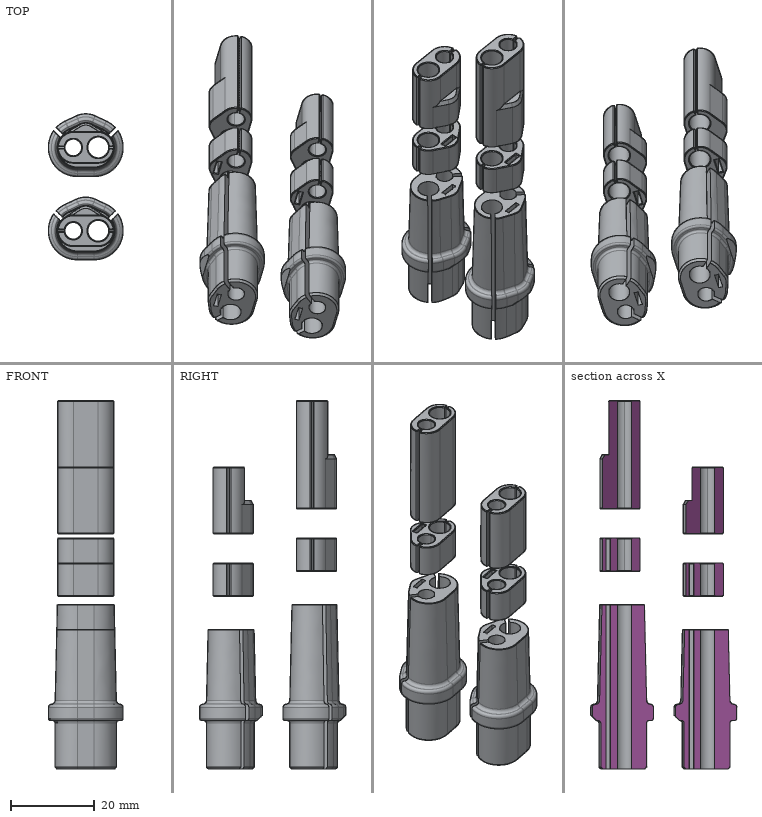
import cadquery as cq
import math

SET_PITCH = 20.0
HOUSING_TO_SPACER_GAP = 8.0
SPACER_TO_INSERT_GAP = 7.0
SPACER_LENGTH = 8.0
SHORT_SET = {"y": 0.0, "housing_height": 33.5, "insert_length": 16.0}
LONG_SET = {"y": SET_PITCH, "housing_height": 39.5, "insert_length": 26.0}

HOLE_OFFSET = 3.0
SMALL_HOLE_DIAMETER = 4.0
LARGE_HOLE_DIAMETER = 5.0
HUMP_CENTRE_Y = 2.7
KEY_SLOT_LENGTH = 3.8
KEY_SLOT_WIDTH = 1.0
KEY_SLOT_Y = 3.9

HOUSING_SIDE_OFFSET = 2.0
FLANGE_RADIUS = 7.0
BODY_RADIUS = 5.4
HUMP_REDUCTION = 1.6
LOWER_HUMP_REDUCTION = 1.95
FLANGE_BOTTOM_Z = 11.65
FLANGE_TOP_Z = 15.6
FLANGE_TOP_FILLET = 0.8
FLANGE_BOTTOM_FILLET = 0.5
NECK_TOP_FILLET = 0.9
NECK_BOTTOM_FILLET = 0.6
TAPER_ANGLE = 1.3
BASE_CHAMFER = 0.5
RIM_CHAMFER = 0.15
RELIEF_TOP_Z = 13.0
CORNER_SLIT_WIDTH = 1.0
CORNER_SLIT_ANGLE = 45.0

CORE_SIDE_OFFSET = 3.0
CORE_RADIUS = 3.8
CORE_HUMP_RADIUS = 3.2
CORE_CHAMFER = 0.2
SIDE_SLIT_WIDTH = 0.4
SLIT_MOUTH_CHAMFER = 0.3
KEEL_CHAMFER_WIDTH = 0.55
KEEL_CHAMFER_HEIGHT = 1.0

CUT_MARGIN = 1.0
CUT_REACH = 2 * FLANGE_RADIUS
EDGE_HEIGHT_SLACK = 0.01
EDGE_SIDE_SLACK = 0.05


def humped_outline(z, side_offset, side_radius, hump_radius):
    """Outline around two side circles and a hump circle on +Y, joined by tangent lines."""
    centre_distance = math.hypot(side_offset, HUMP_CENTRE_Y)
    centre_angle = math.atan2(HUMP_CENTRE_Y, side_offset)
    slope = centre_angle - math.asin((side_radius - hump_radius) / centre_distance)
    side_x = side_offset + side_radius * math.sin(slope)
    side_y = side_radius * math.cos(slope)
    hump_x = hump_radius * math.sin(slope)
    hump_y = HUMP_CENTRE_Y + hump_radius * math.cos(slope)
    return (
        cq.Workplane("XY", origin=(0, 0, z))
        .moveTo(-side_offset, -side_radius)
        .lineTo(side_offset, -side_radius)
        .threePointArc((side_offset + side_radius, 0), (side_x, side_y))
        .lineTo(hump_x, hump_y)
        .threePointArc((0, HUMP_CENTRE_Y + hump_radius), (-hump_x, hump_y))
        .lineTo(-side_x, side_y)
        .threePointArc((-side_offset - side_radius, 0), (-side_offset, -side_radius))
        .close()
    )


def contact_holes(length):
    """Cutters for the small hole on -X and the large hole on +X."""
    depth = length + 2 * CUT_MARGIN
    small = (
        cq.Workplane("XY", origin=(-HOLE_OFFSET, 0, -CUT_MARGIN))
        .circle(SMALL_HOLE_DIAMETER / 2)
        .extrude(depth)
    )
    large = (
        cq.Workplane("XY", origin=(HOLE_OFFSET, 0, -CUT_MARGIN))
        .circle(LARGE_HOLE_DIAMETER / 2)
        .extrude(depth)
    )
    return small.union(large)


def key_slot(length):
    """Cutter for the flat slot under the hump."""
    return (
        cq.Workplane("XY", origin=(0, KEY_SLOT_Y, -CUT_MARGIN))
        .rect(KEY_SLOT_LENGTH, KEY_SLOT_WIDTH)
        .extrude(length + 2 * CUT_MARGIN)
    )


def slit(side, width, angle, length):
    """Cutter running outward from a hole centre; the angle is measured up from the X axis."""
    cutter = (
        cq.Workplane("XY")
        .box(CUT_REACH, width, length + 2 * CUT_MARGIN, centered=(False, True, False))
        .translate((0, 0, -CUT_MARGIN))
    )
    direction = angle if side > 0 else 180 - angle
    return cutter.rotate((0, 0, 0), (0, 0, 1), direction).translate((side * HOLE_OFFSET, 0, 0))


def hump_relief():
    """Cutter for the 45 degree slope under the flange hump."""
    flange_hump_y = HUMP_CENTRE_Y + FLANGE_RADIUS - HUMP_REDUCTION
    drop = RELIEF_TOP_Z - FLANGE_BOTTOM_Z + CUT_MARGIN
    return (
        cq.Workplane("YZ", origin=(-CUT_REACH, 0, 0))
        .moveTo(flange_hump_y, RELIEF_TOP_Z)
        .lineTo(flange_hump_y - drop, RELIEF_TOP_Z - drop)
        .lineTo(flange_hump_y + CUT_MARGIN, RELIEF_TOP_Z - drop)
        .lineTo(flange_hump_y + CUT_MARGIN, RELIEF_TOP_Z)
        .close()
        .extrude(2 * CUT_REACH)
    )


def neck_edges(z):
    """Selector for the edges where the housing body meets a flange face at height z."""
    reach_y = BODY_RADIUS + EDGE_SIDE_SLACK
    reach_x = HOUSING_SIDE_OFFSET + reach_y
    hump_reach = reach_y + HUMP_CENTRE_Y - HUMP_REDUCTION + EDGE_SIDE_SLACK
    return cq.selectors.BoxSelector(
        (-reach_x, -reach_y, z - EDGE_HEIGHT_SLACK),
        (reach_x, hump_reach, z + EDGE_HEIGHT_SLACK),
        boundingbox=True,
    )


def make_housing(height):
    lower_hump_radius = BODY_RADIUS - LOWER_HUMP_REDUCTION
    lower = (
        humped_outline(0, HOUSING_SIDE_OFFSET, BODY_RADIUS, lower_hump_radius)
        .extrude(FLANGE_BOTTOM_Z)
        .faces("<Z")
        .chamfer(BASE_CHAMFER)
    )

    flange_hump_radius = FLANGE_RADIUS - HUMP_REDUCTION
    flange = humped_outline(
        FLANGE_BOTTOM_Z, HOUSING_SIDE_OFFSET, FLANGE_RADIUS, flange_hump_radius
    ).extrude(FLANGE_TOP_Z - FLANGE_BOTTOM_Z)
    flange = flange.faces(">Z").edges().fillet(FLANGE_TOP_FILLET)
    flange = flange.faces("<Z").edges().fillet(FLANGE_BOTTOM_FILLET)
    flange = flange.cut(hump_relief())

    upper = (
        humped_outline(FLANGE_TOP_Z, HOUSING_SIDE_OFFSET, BODY_RADIUS, BODY_RADIUS - HUMP_REDUCTION)
        .extrude(height - FLANGE_TOP_Z, taper=TAPER_ANGLE)
        .faces(">Z")
        .chamfer(RIM_CHAMFER)
    )

    body = flange.union(lower).union(upper)
    body = body.edges(neck_edges(FLANGE_TOP_Z)).fillet(NECK_TOP_FILLET)
    body = body.edges(neck_edges(FLANGE_BOTTOM_Z)).fillet(NECK_BOTTOM_FILLET)
    body = body.cut(contact_holes(height)).cut(key_slot(height))
    for side in (-1, 1):
        body = body.cut(slit(side, CORNER_SLIT_WIDTH, CORNER_SLIT_ANGLE, height))
    return body


def cut_core(body, length):
    """Cut the holes and side slits, then chamfer the slit mouths and every end-face edge."""
    body = body.cut(contact_holes(length))
    for side in (-1, 1):
        body = body.cut(slit(side, SIDE_SLIT_WIDTH, 0, length))
    half_width = CORE_SIDE_OFFSET + CORE_RADIUS
    for side in (-1, 1):
        mouth = cq.selectors.BoxSelector(
            (side * (half_width - CORE_CHAMFER), -2 * SIDE_SLIT_WIDTH, -CUT_MARGIN),
            (side * (half_width + CORE_CHAMFER), 2 * SIDE_SLIT_WIDTH, length + CUT_MARGIN),
        )
        body = body.edges("|Z").edges(mouth).chamfer(SLIT_MOUTH_CHAMFER)
    return body.faces("<Z or >Z").edges().chamfer(CORE_CHAMFER)


def make_spacer():
    body = humped_outline(0, CORE_SIDE_OFFSET, CORE_RADIUS, CORE_HUMP_RADIUS).extrude(SPACER_LENGTH)
    return cut_core(body.cut(key_slot(SPACER_LENGTH)), SPACER_LENGTH)


def make_insert(length):
    """Round-ended stem with a keel along the lower half of its +Y side."""
    keel = humped_outline(0, CORE_SIDE_OFFSET, CORE_RADIUS, CORE_HUMP_RADIUS).extrude(length / 2)
    keel = keel.faces(">Z").edges().chamfer(KEEL_CHAMFER_HEIGHT, KEEL_CHAMFER_WIDTH)
    stem = (
        cq.Workplane("XY")
        .slot2D(2 * (CORE_SIDE_OFFSET + CORE_RADIUS), 2 * CORE_RADIUS)
        .extrude(length)
    )
    return cut_core(keel.union(stem), length)


bodies = []
for plug_set in (SHORT_SET, LONG_SET):
    set_y = plug_set["y"]
    spacer_z = plug_set["housing_height"] + HOUSING_TO_SPACER_GAP
    insert_z = spacer_z + SPACER_LENGTH + SPACER_TO_INSERT_GAP
    housing = make_housing(plug_set["housing_height"]).translate((0, set_y, 0))
    spacer = make_spacer().translate((0, set_y, spacer_z))
    insert = make_insert(plug_set["insert_length"]).translate((0, set_y, insert_z))
    bodies.extend([housing.val(), spacer.val(), insert.val()])

result = cq.Compound.makeCompound(bodies)